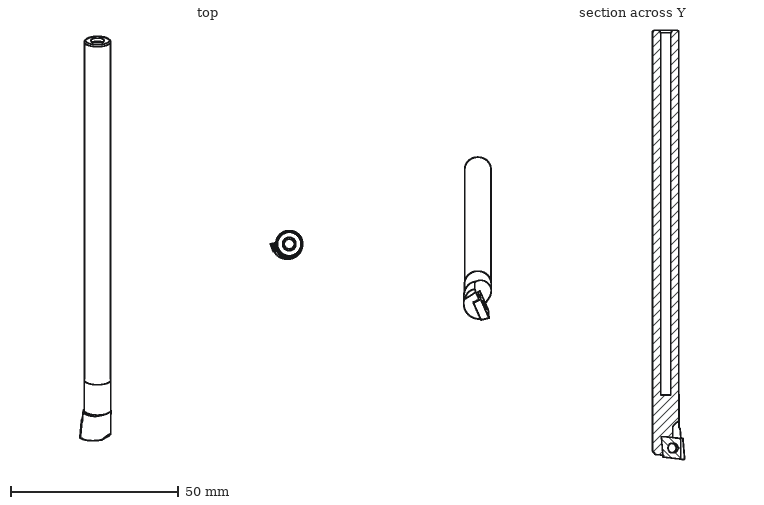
import cadquery as cq
import math


total_length = 128.25
shank_diameter = 7.92
neck_diameter = 8.03
neck_radius = neck_diameter / 2
neck_top = 19.3
end_chamfer = 0.45

bore_diameter = 3.0
bore_mouth_diameter = 4.0
bore_mouth_depth = 0.8
bore_bottom = neck_top

reach_x = 5.655
reach_y = 4.565
head_top = 9.2
head_bevel = 0.4
flare_top_radius = 4.32
flare_slope = 0.09
clearance_radius = 4.57
clearance_x = neck_radius - clearance_radius
clearance_y = clearance_radius - reach_y

rake_angle = 13.0
lead_angle = 5.0
relief_angle = 7.0
edge_length = 6.45
insert_thickness = 2.48
insert_hole_diameter = 2.8
nose_radius = 0.4

diagonal_angle = 45.0
nose_half_angle = diagonal_angle - lead_angle
nose_centre_distance = nose_radius / math.sin(math.radians(nose_half_angle))
nose_centre = nose_centre_distance * math.sin(math.radians(diagonal_angle))
nose_loss = nose_centre - nose_radius
tip_x = -reach_x - nose_loss * math.cos(math.radians(rake_angle))
tip_z = -nose_loss

recess_floor = 0.72
recess_radius = 3.0
recess_arc_z = 8.6
recess_drop_angle = 15.0

end_setback = 0.65
end_relief_angle = 3.0
corner_start_z = 2.6
corner_angle = 50.0

cut_size = 30.0


def place_at_tip(shape):
    """Turn a shape by the rake angle about the sharp insert corner and move that corner to its place."""
    return shape.rotate((0, 0, 0), (0, 0, 1), rake_angle).translate((tip_x, 0, tip_z))


def make_insert(hole=True):
    """Rhombic insert, cutting face up towards +Y, narrowing away from that face."""
    run = edge_length * math.sin(math.radians(lead_angle))
    rise = edge_length * math.cos(math.radians(lead_angle))
    middle = (rise + run) / 2
    corners = [(0, 0), (rise, run), (2 * middle, 2 * middle), (run, rise)]
    insert = (
        cq.Workplane("XZ")
        .polyline(corners)
        .close()
        .extrude(insert_thickness, taper=relief_angle)
        .edges(cq.selectors.NearestToPointSelector((0, -insert_thickness / 2, 0)))
        .fillet(nose_radius)
    )
    if hole:
        insert = insert.cut(
            cq.Workplane("XZ")
            .center(middle, middle)
            .circle(insert_hole_diameter / 2)
            .extrude(insert_thickness)
        )
    return place_at_tip(insert)


def make_shank():
    """Shank with a chamfered end and a slightly larger neck below it."""
    shank = (
        cq.Workplane("XY")
        .workplane(offset=neck_top)
        .circle(shank_diameter / 2)
        .extrude(total_length - neck_top)
        .faces(">Z")
        .chamfer(end_chamfer)
    )
    neck = cq.Workplane("XY").circle(neck_radius).extrude(neck_top)
    return neck.union(shank)


def make_bore():
    """Blind bore with a tapered mouth, as a solid to cut away."""
    bore_radius = bore_diameter / 2
    return (
        cq.Workplane("XZ")
        .moveTo(0, bore_bottom)
        .lineTo(bore_radius, bore_bottom)
        .lineTo(bore_radius, total_length - bore_mouth_depth)
        .lineTo(bore_mouth_diameter / 2, total_length)
        .lineTo(0, total_length)
        .close()
        .revolve(360, (0, 0), (0, 1))
    )


def make_head():
    """Flaring cone with a bevelled shoulder, trimmed by the off-centre clearance cylinder."""
    flare = (
        cq.Workplane("XZ")
        .moveTo(0, 0)
        .lineTo(flare_top_radius + flare_slope * head_top, 0)
        .lineTo(flare_top_radius, head_top)
        .lineTo(neck_radius, head_top + head_bevel)
        .lineTo(0, head_top + head_bevel)
        .close()
        .revolve(360, (0, 0), (0, 1))
    )
    clearance = (
        cq.Workplane("XY")
        .center(clearance_x, clearance_y)
        .circle(clearance_radius)
        .extrude(head_top + head_bevel)
    )
    return flare.intersect(clearance)


def make_recess():
    """Chip recess: flat floor parallel to the cutting face, running up in an arc and dropping towards +X."""
    arc_top = recess_floor + recess_radius
    far = arc_top + cut_size
    recess = (
        cq.Workplane("YZ")
        .moveTo(recess_floor, -cut_size)
        .lineTo(recess_floor, recess_arc_z)
        .radiusArc((arc_top, recess_arc_z + recess_radius), recess_radius)
        .lineTo(far, recess_arc_z + recess_radius)
        .lineTo(far, -cut_size)
        .close()
        .extrude(cut_size / 2, both=True)
    )
    recess = recess.rotate((0, 0, 0), (0, 1, 0), recess_drop_angle)
    return recess.rotate((0, 0, 0), (0, 0, 1), rake_angle)


def make_lower_block():
    """Large block whose top face lies on the XY plane."""
    block = cq.Workplane("XY").box(2 * cut_size, 2 * cut_size, cut_size, centered=(True, True, False))
    return block.translate((0, 0, -cut_size))


def make_end_cut():
    """Material below the relieved lower end of the holder."""
    block = make_lower_block()
    block = block.rotate((0, 0, 0), (1, 0, 0), -end_relief_angle)
    block = block.rotate((0, 0, 0), (0, 1, 0), -lead_angle)
    return place_at_tip(block.translate((0, 0, end_setback)))


def make_corner_cut():
    """Bevel at the lower corner opposite the cutting tip."""
    block = make_lower_block()
    block = block.rotate((0, 0, 0), (0, 1, 0), -corner_angle)
    return block.translate((neck_radius, 0, corner_start_z))


holder = make_shank().union(make_head()).cut(make_bore())
holder = holder.cut(make_recess()).cut(make_end_cut()).cut(make_corner_cut())
holder = holder.cut(make_insert(hole=False))
insert = make_insert()

result = cq.Compound.makeCompound([holder.val(), insert.val()])